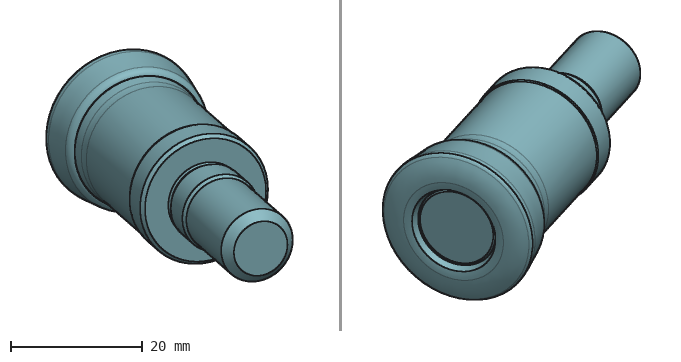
import cadquery as cq
import math

LENGTH = 57.0

HEAD_RADIUS = 12.51
HEAD_LENGTH = 8.6
CREST_RADIUS = 8.3
DOME_RADIUS = 7.05
DOME_RIM_RADIUS = 12.1
EDGE_TOP_X = 1.6
EDGE_END_X = 2.45
TAPER_START_RADIUS = 12.5
TAPER_END_X = 7.4
TAPER_END_RADIUS = 11.75
BACK_EDGE_RADIUS = 10.7
LIP_INNER_RADIUS = 6.95
LIP_DEPTH = 0.15

NOSE_RADIUS = 6.45
NOSE_FRONT_X = 1.25
NOSE_CHAMFER = 0.35
SLEEVE_RADIUS = 20.6 / 2
SLEEVE_FRONT_RADIUS = 10.65
FLARE_BLEND_X = 10.5
FLARE_END_X = 12.2
COLLAR_RADIUS = 21.0 / 2
COLLAR_START_X = 29.85
COLLAR_END_X = 34.9
COLLAR_CHAMFER = 0.55
PILOT_RADIUS = 12.5 / 2
SHANK_RADIUS = 11.75 / 2
GROOVE_FRONT_RADIUS = 6.1
GROOVE_X = 35.4
PILOT_START_X = 36.2
PILOT_END_X = 40.85
SHANK_START_X = 41.55
TIP_CHAMFER = 1.5


def turn(profile):
    """Revolve a closed profile (axial position, radius) about the X axis."""
    return profile.close().revolve(360, (0, 0, 0), (1, 0, 0))


def dome_x(radius):
    """Axial position of the front dome at the given radius."""
    return DOME_RADIUS - math.sqrt(DOME_RADIUS**2 - (radius - CREST_RADIUS) ** 2)


def make_head():
    lip_middle_x = LIP_DEPTH / 4
    lip_middle_radius = (LIP_INNER_RADIUS + CREST_RADIUS) / 2
    dome_middle_radius = (CREST_RADIUS + DOME_RIM_RADIUS) / 2
    return turn(
        cq.Workplane("XY")
        .moveTo(0, CREST_RADIUS)
        .threePointArc(
            (dome_x(dome_middle_radius), dome_middle_radius),
            (dome_x(DOME_RIM_RADIUS), DOME_RIM_RADIUS),
        )
        .tangentArcPoint((EDGE_TOP_X, HEAD_RADIUS), relative=False)
        .lineTo(EDGE_END_X, TAPER_START_RADIUS)
        .lineTo(TAPER_END_X, TAPER_END_RADIUS)
        .tangentArcPoint((HEAD_LENGTH, BACK_EDGE_RADIUS), relative=False)
        .lineTo(HEAD_LENGTH, NOSE_RADIUS)
        .lineTo(NOSE_FRONT_X, NOSE_RADIUS)
        .lineTo(LIP_DEPTH, LIP_INNER_RADIUS)
        .threePointArc((lip_middle_x, lip_middle_radius), (0, CREST_RADIUS))
    )


def make_plunger():
    collar_step = COLLAR_RADIUS - SLEEVE_RADIUS
    tangent_length = (FLARE_END_X - FLARE_BLEND_X) / 2
    cone_slope = (SLEEVE_FRONT_RADIUS - SLEEVE_RADIUS) / (FLARE_END_X - tangent_length - HEAD_LENGTH)
    blend_radius = SLEEVE_RADIUS + cone_slope * tangent_length
    return turn(
        cq.Workplane("XY")
        .moveTo(NOSE_FRONT_X, 0)
        .lineTo(NOSE_FRONT_X, NOSE_RADIUS - NOSE_CHAMFER)
        .lineTo(NOSE_FRONT_X + NOSE_CHAMFER, NOSE_RADIUS)
        .lineTo(HEAD_LENGTH, NOSE_RADIUS)
        .lineTo(HEAD_LENGTH, SLEEVE_FRONT_RADIUS)
        .lineTo(FLARE_BLEND_X, blend_radius)
        .tangentArcPoint((FLARE_END_X, SLEEVE_RADIUS), relative=False)
        .lineTo(COLLAR_START_X, SLEEVE_RADIUS)
        .lineTo(COLLAR_START_X + collar_step, COLLAR_RADIUS)
        .lineTo(COLLAR_END_X - COLLAR_CHAMFER, COLLAR_RADIUS)
        .lineTo(COLLAR_END_X, COLLAR_RADIUS - COLLAR_CHAMFER)
        .lineTo(COLLAR_END_X, GROOVE_FRONT_RADIUS)
        .lineTo(GROOVE_X, SHANK_RADIUS)
        .lineTo(PILOT_START_X, PILOT_RADIUS)
        .lineTo(PILOT_END_X, PILOT_RADIUS)
        .lineTo(SHANK_START_X, SHANK_RADIUS)
        .lineTo(LENGTH - TIP_CHAMFER, SHANK_RADIUS)
        .lineTo(LENGTH, SHANK_RADIUS - TIP_CHAMFER)
        .lineTo(LENGTH, 0)
    )


head = make_head()
plunger = make_plunger()
result = cq.Compound.makeCompound([head.val(), plunger.val()])